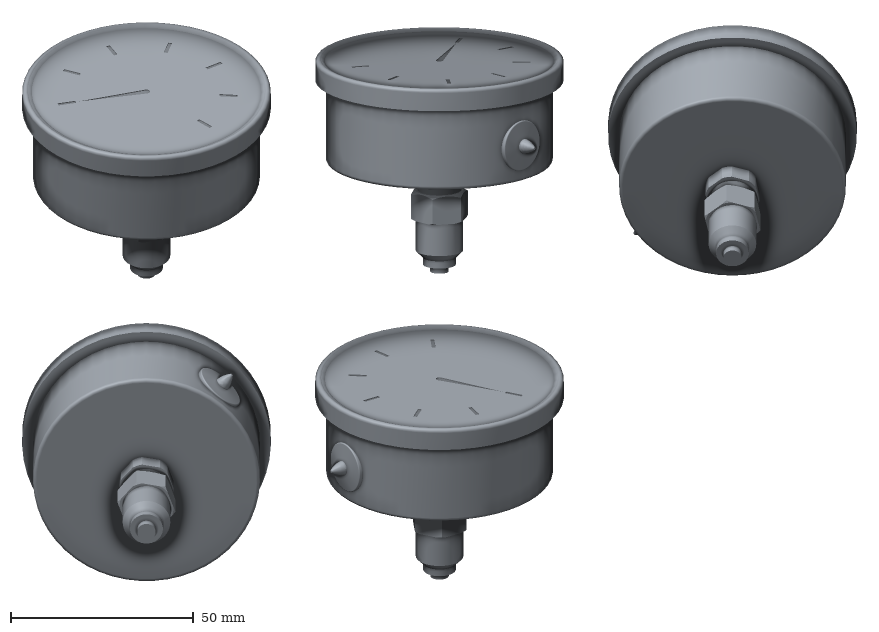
import cadquery as cq
import math


BEZEL_DIAMETER = 68.0
BEZEL_RADIUS = BEZEL_DIAMETER / 2
BEZEL_HEIGHT = 6.1
BEZEL_ROUND = 1.0
BARREL_RADIUS = 31.0
BARREL_ROUND = 1.0
CASE_HEIGHT = 29.2
LIP_RADIUS = 32.4
DIAL_RADIUS = 31.35
DIAL_DROP = 0.5

MARKING_DEPTH = 0.3
MARK_COUNT = 7
MARK_FIRST_ANGLE = -30
MARK_STEP_ANGLE = 40
MARK_INNER_RADIUS = 20.0
MARK_LENGTH = 5.0
MARK_WIDTH = 1.05
NEEDLE_HUB_RADIUS = 1.0
NEEDLE_LENGTH = 19.4
NEEDLE_ANGLE = 210

HEX_ACROSS_FLATS = 14.0
HEX_CORNER_RADIUS = HEX_ACROSS_FLATS / math.sqrt(3)
HEX_TURN_ANGLE = 30
COLLAR_HEIGHT = 4.6
COLLAR_RADIUS = 7.4
NECK_HEIGHT = 3.35
NECK_RADIUS = 6.0
NUT_HEIGHT = 8.05
NUT_TOP_RADIUS = 6.65
NUT_BOTTOM_RADIUS = 7.4
NUT_CHAMFER_ANGLE = 30
SHANK_HEIGHT = 9.0
SHANK_RADIUS = 6.5
TAPER_HEIGHT = 2.0
TIP_HEIGHT = 2.0
TIP_RADIUS = 4.5
PIN_HEIGHT = 1.95
PIN_RADIUS = 2.5

PLUG_Z = 10.15
PLUG_RADIUS = 7.0
PLUG_RIM_HEIGHT = 0.1
PLUG_ROUND = 0.35
PLUG_DOME_HEIGHT = 1.1
SPOUT_BASE_RADIUS = 2.0
SPOUT_TIP_RADIUS = 0.35
OVERALL_DEPTH = 70.0
SPOUT_REACH = OVERALL_DEPTH - BEZEL_RADIUS
SPOUT_BULGE = 0.2

BEZEL_BASE_Z = CASE_HEIGHT - BEZEL_HEIGHT
ARC_CENTRE_RADIUS = BEZEL_RADIUS - BEZEL_ROUND
ARC_CENTRE_Z = CASE_HEIGHT - BEZEL_ROUND
LIP_Z = ARC_CENTRE_Z + math.sqrt(BEZEL_ROUND**2 - (ARC_CENTRE_RADIUS - LIP_RADIUS) ** 2)
DIAL_Z = LIP_Z - DIAL_DROP


def sink_profile(profile):
    """Extrude a closed profile lying on the dial face down to the marking depth."""
    return profile.extrude(-MARKING_DEPTH)


def scale_mark(angle):
    """Radial bar-shaped pocket at the given angle from +X."""
    mark = cq.Workplane("XY").workplane(offset=DIAL_Z)
    mark = mark.center(MARK_INNER_RADIUS + MARK_LENGTH / 2, 0).rect(MARK_LENGTH, MARK_WIDTH)
    return sink_profile(mark).rotate((0, 0, 0), (0, 0, 1), angle)


def needle():
    """Needle-shaped pocket: a round hub with two tangent sides that meet at the point."""
    tangent_x = NEEDLE_HUB_RADIUS**2 / NEEDLE_LENGTH
    tangent_y = math.sqrt(NEEDLE_HUB_RADIUS**2 - tangent_x**2)
    outline = (
        cq.Workplane("XY")
        .workplane(offset=DIAL_Z)
        .moveTo(NEEDLE_LENGTH, 0)
        .lineTo(tangent_x, tangent_y)
        .threePointArc((-NEEDLE_HUB_RADIUS, 0), (tangent_x, -tangent_y))
        .close()
    )
    return sink_profile(outline).rotate((0, 0, 0), (0, 0, 1), NEEDLE_ANGLE)


def make_case():
    """Barrel and bezel turned in one piece, with the dial face sunk inside the rounded rim."""
    case = (
        cq.Workplane("XZ")
        .lineTo(BARREL_RADIUS, 0)
        .lineTo(BARREL_RADIUS, BEZEL_BASE_Z)
        .lineTo(BEZEL_RADIUS, BEZEL_BASE_Z)
        .lineTo(BEZEL_RADIUS, ARC_CENTRE_Z)
        .threePointArc((ARC_CENTRE_RADIUS, CASE_HEIGHT), (LIP_RADIUS, LIP_Z))
        .lineTo(DIAL_RADIUS, DIAL_Z)
        .lineTo(0, DIAL_Z)
        .close()
        .revolve(360, (0, 0), (0, 1))
    )
    case = case.faces("<Z").edges().fillet(BARREL_ROUND)
    for index in range(MARK_COUNT):
        case = case.cut(scale_mark(MARK_FIRST_ANGLE + index * MARK_STEP_ANGLE))
    return case.cut(needle())


def round_section(top_z, height, radius):
    """Cylinder about the stem axis, hanging down from top_z."""
    return cq.Workplane("XY").workplane(offset=top_z).circle(radius).extrude(-height)


def hex_section(top_z, height):
    """Hexagonal prism about the stem axis, with flats facing -X and +X."""
    prism = cq.Workplane("XY").workplane(offset=top_z).polygon(6, 2 * HEX_CORNER_RADIUS).extrude(-height)
    return prism.rotate((0, 0, 0), (0, 0, 1), HEX_TURN_ANGLE)


def nut_envelope(top_z):
    """Turned blank whose conical ends chamfer the corners of the nut."""
    slope = math.tan(math.radians(NUT_CHAMFER_ANGLE))
    top_drop = (HEX_CORNER_RADIUS - NUT_TOP_RADIUS) * slope
    bottom_rise = (HEX_CORNER_RADIUS - NUT_BOTTOM_RADIUS) * slope
    bottom_z = top_z - NUT_HEIGHT
    return (
        cq.Workplane("XZ")
        .moveTo(0, top_z)
        .lineTo(NUT_TOP_RADIUS, top_z)
        .lineTo(HEX_CORNER_RADIUS, top_z - top_drop)
        .lineTo(HEX_CORNER_RADIUS, bottom_z + bottom_rise)
        .lineTo(NUT_BOTTOM_RADIUS, bottom_z)
        .lineTo(0, bottom_z)
        .close()
        .revolve(360, (0, 0), (0, 1))
    )


def make_stem():
    """Hexagonal collar, neck, nut, shank with tapered end, and stepped tip."""
    neck_z = -COLLAR_HEIGHT
    nut_z = neck_z - NECK_HEIGHT
    shank_z = nut_z - NUT_HEIGHT
    tip_z = shank_z - SHANK_HEIGHT - TAPER_HEIGHT
    pin_z = tip_z - TIP_HEIGHT

    collar = hex_section(0, COLLAR_HEIGHT).intersect(round_section(0, COLLAR_HEIGHT, COLLAR_RADIUS))
    neck = round_section(neck_z, NECK_HEIGHT, NECK_RADIUS)
    nut = hex_section(nut_z, NUT_HEIGHT).intersect(nut_envelope(nut_z))
    shank = round_section(shank_z, SHANK_HEIGHT + TAPER_HEIGHT, SHANK_RADIUS)
    shank = shank.faces("<Z").chamfer(TAPER_HEIGHT, SHANK_RADIUS - TIP_RADIUS)
    tip = round_section(tip_z, TIP_HEIGHT, TIP_RADIUS)
    pin = round_section(pin_z, PIN_HEIGHT, PIN_RADIUS)
    return collar.union(neck).union(nut).union(shank).union(tip).union(pin)


def make_plug():
    """Domed disc with a pointed spout, its back shaped to lie against the barrel."""
    edge_radius = PLUG_RADIUS - PLUG_ROUND
    rim_y = BARREL_RADIUS + PLUG_RIM_HEIGHT
    edge_y = rim_y + PLUG_ROUND
    dome_y = BARREL_RADIUS + PLUG_DOME_HEIGHT
    dome_rise = dome_y - edge_y
    dome_sphere_radius = (edge_radius**2 + dome_rise**2) / (2 * dome_rise)
    dome_mid_radius = edge_radius / 2
    dome_centre_y = dome_y - dome_sphere_radius
    dome_mid_y = dome_centre_y + math.sqrt(dome_sphere_radius**2 - dome_mid_radius**2)
    round_mid = PLUG_ROUND * math.sqrt(0.5)

    disc = (
        cq.Workplane("XY")
        .lineTo(PLUG_RADIUS, 0)
        .lineTo(PLUG_RADIUS, rim_y)
        .threePointArc((edge_radius + round_mid, rim_y + round_mid), (edge_radius, edge_y))
        .threePointArc((dome_mid_radius, dome_mid_y), (0, dome_y))
        .close()
        .revolve(360, (0, 0), (0, 1))
    )
    spout_mid_radius = (SPOUT_BASE_RADIUS + SPOUT_TIP_RADIUS) / 2 + SPOUT_BULGE
    spout_mid_y = (dome_y + SPOUT_REACH) / 2 + SPOUT_BULGE
    spout = (
        cq.Workplane("XY")
        .moveTo(0, BARREL_RADIUS)
        .lineTo(SPOUT_BASE_RADIUS, BARREL_RADIUS)
        .lineTo(SPOUT_BASE_RADIUS, dome_y)
        .threePointArc((spout_mid_radius, spout_mid_y), (SPOUT_TIP_RADIUS, SPOUT_REACH))
        .lineTo(0, SPOUT_REACH)
        .close()
        .revolve(360, (0, 0), (0, 1))
    )
    plug = disc.union(spout).translate((0, 0, PLUG_Z))
    return plug.cut(round_section(CASE_HEIGHT, CASE_HEIGHT, BARREL_RADIUS))


case = make_case()
stem = make_stem()
plug = make_plug()

result = cq.Compound.makeCompound([case.val(), stem.val(), plug.val()])